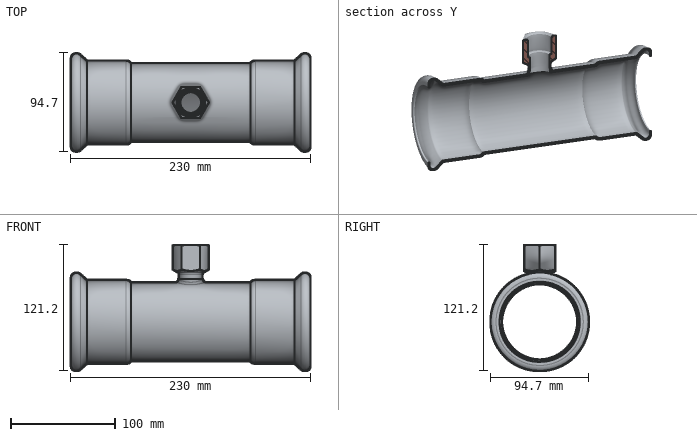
import cadquery as cq
import math


TOTAL_LENGTH = 230.0
TUBE_OUTER_RADIUS = 76.1 / 2
TUBE_INNER_RADIUS = 71.98 / 2
SOCKET_OUTER_RADIUS = 80.7 / 2
SOCKET_INNER_RADIUS = 76.7 / 2
SOCKET_WALL = SOCKET_OUTER_RADIUS - SOCKET_INNER_RADIUS
SHOULDER_START = 53.0
SHOULDER_OUTER_ARC = 6.0
SHOULDER_INNER_ARC = SHOULDER_OUTER_ARC - SOCKET_WALL

BEAD_OUTER_RADIUS = 94.7 / 2
BEAD_ARC = 5.5
BEAD_CENTRE_RADIUS = BEAD_OUTER_RADIUS - BEAD_ARC
BEAD_WALL = 1.5
LIP_FILLET = BEAD_WALL / 2
BEAD_INNER_ARC = BEAD_ARC - BEAD_WALL
GROOVE_FILLET = 2.0
BEAD_SLOPE = math.radians(42)

COLLAR_RADIUS = 24.0 / 2
COLLAR_BORE_RADIUS = 20.6 / 2
COLLAR_TOP = 41.1
COLLAR_FILLET = 2.5

FITTING_TOP = 73.85
NECK_RADIUS = 23.0 / 2
NECK_BORE_RADIUS = 20.0 / 2
NECK_FILLET = 2.0
HEX_ACROSS_FLATS = 30.0
HEX_CORNER_RADIUS = HEX_ACROSS_FLATS / math.sqrt(3)
HEX_CORNER_BOTTOM = 50.1
LOWER_CONE_SLOPE = math.radians(30)
TOP_CHAMFER_RADIUS = HEX_ACROSS_FLATS / 2
TOP_CHAMFER_SLOPE = math.radians(15)
THREAD_RADIUS = 24.12 / 2
THREAD_DEPTH = 18.0
THREAD_MOUTH_RADIUS = 27.2 / 2
THREAD_FLOOR_SLOPE = math.radians(30)


def arc_run(arc_radius, drop):
    """Axial length over which an arc, tangent to the axis direction, drops by the given amount."""
    return math.sqrt(2 * arc_radius * drop - drop**2)


def point_on_shoulder(arc_radius, start_radius, drop):
    """Point on a shoulder arc after it has dropped by the given amount."""
    return (SHOULDER_START + arc_run(arc_radius, drop), start_radius - drop)


def bead_point(arc_radius, angle):
    """Point on a bead arc; the angle is measured from the crown, positive towards the tube middle."""
    return (BEAD_ARC + arc_radius * math.sin(angle), BEAD_CENTRE_RADIUS + arc_radius * math.cos(angle))


def cone_end(cone_start, end_radius):
    """Point where the bead cone reaches the given radius."""
    return (cone_start[0] + (cone_start[1] - end_radius) / math.tan(BEAD_SLOPE), end_radius)


def half_tube_outer():
    """Solid outer shape of one half, from its bead at x = 0 to the middle of the tube."""
    cone_start = bead_point(BEAD_ARC, BEAD_SLOPE)
    drop = SOCKET_OUTER_RADIUS - TUBE_OUTER_RADIUS
    return (
        cq.Workplane("XY")
        .moveTo(0, 0)
        .lineTo(0, BEAD_CENTRE_RADIUS)
        .threePointArc(bead_point(BEAD_ARC, 0), cone_start)
        .lineTo(*cone_end(cone_start, SOCKET_OUTER_RADIUS))
        .lineTo(SHOULDER_START, SOCKET_OUTER_RADIUS)
        .threePointArc(
            point_on_shoulder(SHOULDER_OUTER_ARC, SOCKET_OUTER_RADIUS, drop / 4),
            point_on_shoulder(SHOULDER_OUTER_ARC, SOCKET_OUTER_RADIUS, drop),
        )
        .lineTo(TOTAL_LENGTH / 2, TUBE_OUTER_RADIUS)
        .lineTo(TOTAL_LENGTH / 2, 0)
        .close()
        .revolve(360, (0, 0, 0), (1, 0, 0))
        .translate((-TOTAL_LENGTH / 2, 0, 0))
    )


def half_tube_bore():
    """Bore of one half, from the mouth at x = 0 through the seal groove to the middle of the tube."""
    cone_start = bead_point(BEAD_INNER_ARC, BEAD_SLOPE)
    corner = cone_end(cone_start, SOCKET_INNER_RADIUS)
    tangent = GROOVE_FILLET * math.tan(BEAD_SLOPE / 2)
    fillet_start = (
        corner[0] - tangent * math.cos(BEAD_SLOPE),
        corner[1] + tangent * math.sin(BEAD_SLOPE),
    )
    fillet_end = (corner[0] + tangent, corner[1])
    fillet_mid = (
        fillet_end[0] - GROOVE_FILLET * math.sin(BEAD_SLOPE / 2),
        fillet_end[1] + GROOVE_FILLET * (1 - math.cos(BEAD_SLOPE / 2)),
    )
    drop = SOCKET_INNER_RADIUS - TUBE_INNER_RADIUS
    return (
        cq.Workplane("XY")
        .moveTo(0, 0)
        .lineTo(0, SOCKET_INNER_RADIUS + LIP_FILLET)
        .radiusArc((LIP_FILLET, SOCKET_INNER_RADIUS), -LIP_FILLET)
        .lineTo(BEAD_WALL, SOCKET_INNER_RADIUS)
        .lineTo(BEAD_WALL, BEAD_CENTRE_RADIUS)
        .threePointArc(bead_point(BEAD_INNER_ARC, 0), cone_start)
        .lineTo(*fillet_start)
        .threePointArc(fillet_mid, fillet_end)
        .lineTo(SHOULDER_START, SOCKET_INNER_RADIUS)
        .threePointArc(
            point_on_shoulder(SHOULDER_INNER_ARC, SOCKET_INNER_RADIUS, drop / 4),
            point_on_shoulder(SHOULDER_INNER_ARC, SOCKET_INNER_RADIUS, drop),
        )
        .lineTo(TOTAL_LENGTH / 2, TUBE_INNER_RADIUS)
        .lineTo(TOTAL_LENGTH / 2, 0)
        .close()
        .revolve(360, (0, 0, 0), (1, 0, 0))
        .translate((-TOTAL_LENGTH / 2, 0, 0))
    )


def both_halves(half):
    """Join a half with its mirror image across the middle of the tube."""
    return half.union(half.mirror("YZ"))


def vertical_cylinder(radius, top):
    """Cylinder around the branch axis, from the tube axis up to the given height."""
    return cq.Workplane("XY").circle(radius).extrude(top)


def make_tube():
    """Tube with both sockets and the filleted branch collar."""
    outer = both_halves(half_tube_outer()).union(vertical_cylinder(COLLAR_RADIUS, COLLAR_TOP))
    reach = COLLAR_RADIUS + COLLAR_FILLET
    foot_top = TUBE_OUTER_RADIUS + COLLAR_FILLET
    collar_foot = cq.selectors.BoxSelector((-reach, -reach, 0), (reach, reach, foot_top))
    outer = outer.edges(collar_foot).edges("not %LINE").fillet(COLLAR_FILLET)
    return outer.cut(both_halves(half_tube_bore())).cut(vertical_cylinder(COLLAR_BORE_RADIUS, COLLAR_TOP))


def fitting_envelope():
    """Turned outside of the fitting: neck, fillet, lower cone and top chamfer."""
    cone_foot = HEX_CORNER_BOTTOM - (HEX_CORNER_RADIUS - NECK_RADIUS) * math.tan(LOWER_CONE_SLOPE)
    neck_turn = math.pi / 2 - LOWER_CONE_SLOPE
    tangent = NECK_FILLET * math.tan(neck_turn / 2)
    fillet_centre = (NECK_RADIUS + NECK_FILLET, cone_foot - tangent)
    fillet_mid = (
        fillet_centre[0] - NECK_FILLET * math.cos(neck_turn / 2),
        fillet_centre[1] + NECK_FILLET * math.sin(neck_turn / 2),
    )
    fillet_end = (
        fillet_centre[0] - NECK_FILLET * math.cos(neck_turn),
        fillet_centre[1] + NECK_FILLET * math.sin(neck_turn),
    )
    chamfer_height = (HEX_CORNER_RADIUS - TOP_CHAMFER_RADIUS) * math.tan(TOP_CHAMFER_SLOPE)
    return (
        cq.Workplane("XZ")
        .moveTo(0, COLLAR_TOP)
        .lineTo(NECK_RADIUS, COLLAR_TOP)
        .lineTo(NECK_RADIUS, fillet_centre[1])
        .threePointArc(fillet_mid, fillet_end)
        .lineTo(HEX_CORNER_RADIUS, HEX_CORNER_BOTTOM)
        .lineTo(HEX_CORNER_RADIUS, FITTING_TOP - chamfer_height)
        .lineTo(TOP_CHAMFER_RADIUS, FITTING_TOP)
        .lineTo(0, FITTING_TOP)
        .close()
        .revolve(360, (0, 0, 0), (0, 1, 0))
    )


def fitting_bore():
    """Neck bore, conical thread floor, thread bore and 45 degree entry chamfer."""
    floor_top = FITTING_TOP - THREAD_DEPTH
    floor_bottom = floor_top - (THREAD_RADIUS - NECK_BORE_RADIUS) * math.tan(THREAD_FLOOR_SLOPE)
    return (
        cq.Workplane("XZ")
        .moveTo(0, COLLAR_TOP)
        .lineTo(NECK_BORE_RADIUS, COLLAR_TOP)
        .lineTo(NECK_BORE_RADIUS, floor_bottom)
        .lineTo(THREAD_RADIUS, floor_top)
        .lineTo(THREAD_RADIUS, FITTING_TOP - (THREAD_MOUTH_RADIUS - THREAD_RADIUS))
        .lineTo(THREAD_MOUTH_RADIUS, FITTING_TOP)
        .lineTo(0, FITTING_TOP)
        .close()
        .revolve(360, (0, 0, 0), (0, 1, 0))
    )


def make_fitting():
    """Hexagonal female fitting that stands on the collar, with two corners along X."""
    hexagon = (
        cq.Workplane("XY")
        .workplane(offset=COLLAR_TOP)
        .polygon(6, 2 * HEX_CORNER_RADIUS)
        .extrude(FITTING_TOP - COLLAR_TOP)
    )
    return hexagon.intersect(fitting_envelope()).cut(fitting_bore())


tube = make_tube()
fitting = make_fitting()

result = cq.Compound.makeCompound([tube.val(), fitting.val()])